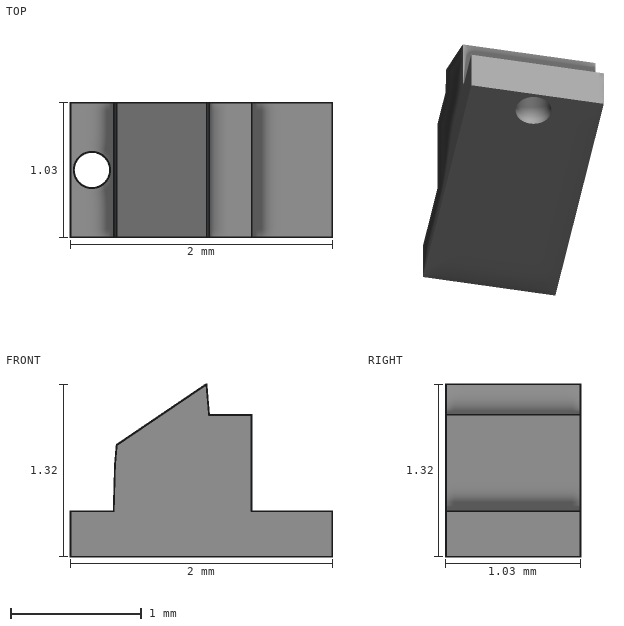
import cadquery as cq

length = 2.0
width = 1.03
base_height = 0.35

block_front_x = 0.33
block_back_x = 1.385
ledge_height = 1.085

bend_x = 0.34
bend_height = 0.705
ramp_start_x = 0.353
ramp_start_height = 0.855

peak_x = 1.04
peak_height = 1.32
ledge_start_x = 1.06

hole_diameter = 0.275
hole_x = block_front_x / 2


def make_body():
    """Side profile in XZ, extruded across the full width and centred on Y."""
    profile = [
        (0, 0),
        (length, 0),
        (length, base_height),
        (block_back_x, base_height),
        (block_back_x, ledge_height),
        (ledge_start_x, ledge_height),
        (peak_x, peak_height),
        (ramp_start_x, ramp_start_height),
        (bend_x, bend_height),
        (block_front_x, base_height),
        (0, base_height),
    ]
    return cq.Workplane("XZ").polyline(profile).close().extrude(width / 2, both=True)


def make_hole():
    """Vertical cylinder through the front foot."""
    return cq.Workplane("XY").center(hole_x, 0).circle(hole_diameter / 2).extrude(base_height)


result = make_body().cut(make_hole())